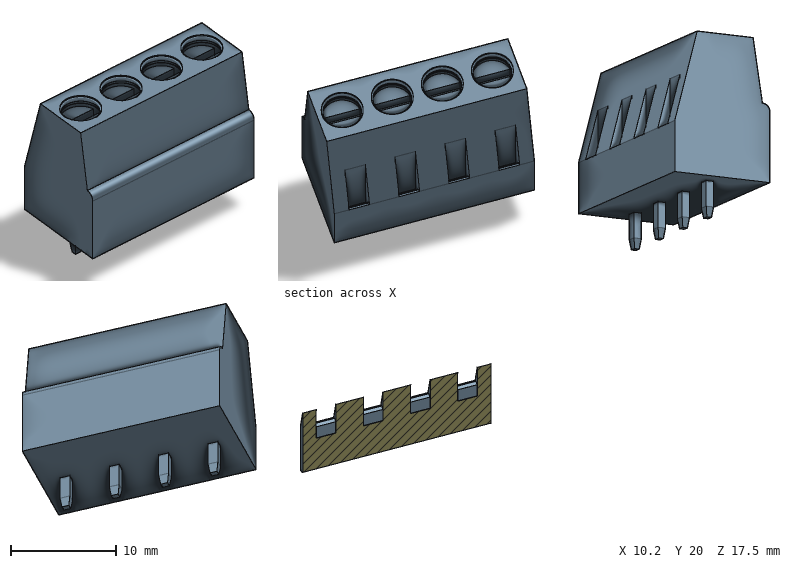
import cadquery as cq

pole_count = 4
pitch = 5.0
block_length = pole_count * pitch
pole_positions = [(i - (pole_count - 1) / 2) * pitch for i in range(pole_count)]

block_depth = 10.2
block_height = 14.0
front_x = -4.8
back_x = front_x + block_depth
front_wall_height = 5.0
top_front_x = front_x + 2.4
top_back_x = top_front_x + 6.0
back_ledge_depth = 0.8
back_ledge_height = 7.7
front_slope = (top_front_x - front_x) / (block_height - front_wall_height)

window_width = 2.04
window_top = 9.95
window_back_x = front_x + front_slope * (window_top - front_wall_height)
sill_depth = 0.2
sill_chamfer = 0.25
window_floor = 3.5

screw_x = front_x + 5.4
bore_diameter = 4.0
bore_step_z = block_height - 0.9
bead_radius = 0.3
bead_protrusion = 0.17
bead_z = block_height - 0.4

head_diameter = 3.9
head_top = block_height - 1.25
head_thickness = 1.6
head_bottom = head_top - head_thickness
slot_width = 0.8
slot_depth = 1.0
pin_thickness = 0.8
pin_width = 1.0
pin_length = 3.5
pin_tip_length = 1.0
tip_thickness = 0.5
tip_width = 0.7


def make_block():
    """Housing cross-section extruded along the row of poles."""
    return (
        cq.Workplane("XZ")
        .moveTo(front_x, 0)
        .lineTo(back_x, 0)
        .lineTo(back_x, back_ledge_height - back_ledge_depth)
        .radiusArc((back_x - back_ledge_depth, back_ledge_height), -back_ledge_depth)
        .lineTo(top_back_x, block_height)
        .lineTo(top_front_x, block_height)
        .lineTo(front_x, front_wall_height)
        .close()
        .extrude(block_length / 2, both=True)
    )


def make_window(y):
    """Volume removed for one wire window."""
    sill_edge_x = front_x + sill_depth
    sill_back_x = sill_edge_x + sill_chamfer
    return (
        cq.Workplane("XZ", origin=(0, y, 0))
        .moveTo(front_x, front_wall_height)
        .lineTo(sill_edge_x, front_wall_height)
        .lineTo(sill_back_x, front_wall_height - sill_chamfer)
        .lineTo(sill_back_x, window_floor)
        .lineTo(window_back_x, window_floor)
        .lineTo(window_back_x, window_top)
        .lineTo(front_x, window_top)
        .close()
        .extrude(window_width / 2, both=True)
    )


def make_bore(y):
    """Volume removed above one screw head, waisted by the retaining bead."""
    step_height = block_height - bore_step_z
    bore = (
        cq.Workplane("XY", origin=(screw_x, y, bore_step_z))
        .circle(bore_diameter / 2)
        .extrude(step_height)
    )
    below_step = (
        cq.Workplane("XY", origin=(screw_x, y, head_top))
        .circle(head_diameter / 2)
        .extrude(bore_step_z - head_top)
    )
    bead_center_radius = bore_diameter / 2 - bead_protrusion + bead_radius
    bead = cq.Workplane(
        cq.Solid.makeTorus(bead_center_radius, bead_radius, cq.Vector(screw_x, y, bead_z))
    )
    return bore.cut(bead).union(below_step)


def make_head(y):
    """Plain cylinder of one screw head."""
    return (
        cq.Workplane("XY", origin=(screw_x, y, head_bottom))
        .circle(head_diameter / 2)
        .extrude(head_thickness)
    )


def make_pin(y):
    """Solder pin with a tapered tip, reaching up to the screw head."""
    shank_bottom = pin_tip_length - pin_length
    shank = (
        cq.Workplane("XY", origin=(0, y, shank_bottom))
        .rect(pin_thickness, pin_width)
        .extrude(head_bottom - shank_bottom)
    )
    tip = (
        cq.Workplane("XY", origin=(0, y, shank_bottom))
        .rect(pin_thickness, pin_width)
        .workplane(offset=-pin_tip_length)
        .rect(tip_thickness, tip_width)
        .loft()
    )
    return shank.union(tip)


def make_slot(y):
    """Driver slot across one screw head, along Y."""
    return (
        cq.Workplane("XY", origin=(screw_x, y, head_top - slot_depth))
        .rect(slot_width, head_diameter)
        .extrude(slot_depth)
    )


def make_terminal(y):
    """Screw head and solder pin of one pole."""
    return make_head(y).union(make_pin(y)).cut(make_slot(y))


housing = make_block()
terminals = []
for pole_y in pole_positions:
    housing = housing.cut(make_window(pole_y))
    housing = housing.cut(make_bore(pole_y))
    housing = housing.cut(make_head(pole_y))
    housing = housing.cut(make_pin(pole_y))
    terminals.append(make_terminal(pole_y))

result = cq.Compound.makeCompound([housing.val(), *[terminal.val() for terminal in terminals]])